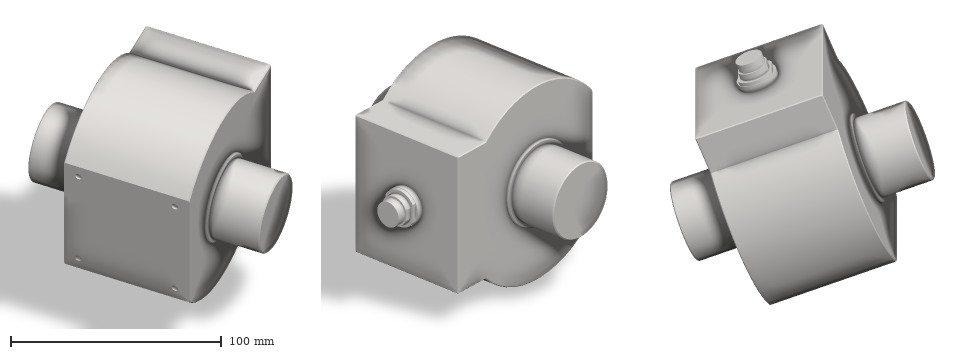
import cadquery as cq
import math

housing_width = 65.0
drum_radius = 52.5
mount_face_y = -40.0
block_back_y = 57.2
block_half_height = 37.0
housing_chamfer = 0.5

shaft_length = 120.0
shaft_diameter = 40.0
shaft_chamfer = 0.6
collar_length = 68.0
collar_diameter = 45.0
collar_chamfer = 0.5

hole_diameter = 3.3
hole_depth = 10.0
hole_spacing_x = 50.0
hole_spacing_z = 55.0
drill_tip_angle = 118.0

connector_root_depth = 1.0
connector_steps = [
    (20.0, 3.3, None),
    (19.5, 2.0, 17.0),
    (15.5, 3.5, 14.4),
    (13.4, 4.6, None),
]


def make_housing():
    """Extrude the outline along X, break its edges, then cut the sharp-edged mounting face."""
    block_corner_y = math.sqrt(drum_radius**2 - block_half_height**2)
    body = (
        cq.Workplane("YZ")
        .moveTo(block_corner_y, block_half_height)
        .lineTo(block_back_y, block_half_height)
        .lineTo(block_back_y, -block_half_height)
        .lineTo(block_corner_y, -block_half_height)
        .threePointArc((-drum_radius, 0), (block_corner_y, block_half_height))
        .close()
        .extrude(housing_width / 2, both=True)
    )
    side_edges = body.faces("<X or >X").edges()
    back_edges = body.faces(">Y").edges("|X")
    body = body.newObject(side_edges.vals() + back_edges.vals()).chamfer(housing_chamfer)
    cut_depth = drum_radius + mount_face_y
    removed = cq.Workplane("XY").box(housing_width, cut_depth, 2 * drum_radius)
    return body.cut(removed.translate((0, mount_face_y - cut_depth / 2, 0)))


def make_x_cylinder(diameter, length, chamfer):
    """Cylinder centred on the origin along X, with both end edges chamfered."""
    cylinder = cq.Workplane("YZ").circle(diameter / 2).extrude(length / 2, both=True)
    return cylinder.faces("<X or >X").edges().chamfer(chamfer)


def make_y_cylinder(diameter, start_y, length):
    """Cylinder on the Y axis that grows toward +Y from start_y."""
    return cq.Workplane("XZ", origin=(0, start_y, 0)).circle(diameter / 2).extrude(-length)


def make_connector():
    """Stack the stepped connector along +Y, cutting flats on the steps that have them."""
    base_diameter = connector_steps[0][0]
    connector = make_y_cylinder(base_diameter, block_back_y - connector_root_depth, connector_root_depth)
    step_y = block_back_y
    for diameter, length, flat_width in connector_steps:
        step = make_y_cylinder(diameter, step_y, length)
        if flat_width is not None:
            flats = cq.Workplane("XY").box(flat_width, length, diameter)
            step = step.intersect(flats.translate((0, step_y + length / 2, 0)))
        connector = connector.union(step)
        step_y += length
    return connector


def make_mounting_holes():
    """Four drilled holes, each a revolved profile with a conical tip, entering the mounting face."""
    radius = hole_diameter / 2
    tip_length = radius / math.tan(math.radians(drill_tip_angle / 2))
    drill = (
        cq.Workplane("XY")
        .polyline([(0, 0), (radius, 0), (radius, hole_depth), (0, hole_depth + tip_length)])
        .close()
        .revolve(360, (0, 0), (0, 1))
    )
    holes = cq.Workplane("XY")
    for side_x in (-1, 1):
        for side_z in (-1, 1):
            place = (side_x * hole_spacing_x / 2, mount_face_y, side_z * hole_spacing_z / 2)
            holes = holes.add(drill.translate(place))
    return holes.combine()


shaft = make_x_cylinder(shaft_diameter, shaft_length, shaft_chamfer)
collar = make_x_cylinder(collar_diameter, collar_length, collar_chamfer)
body = make_housing().union(collar).union(shaft).union(make_connector())
result = body.cut(make_mounting_holes())